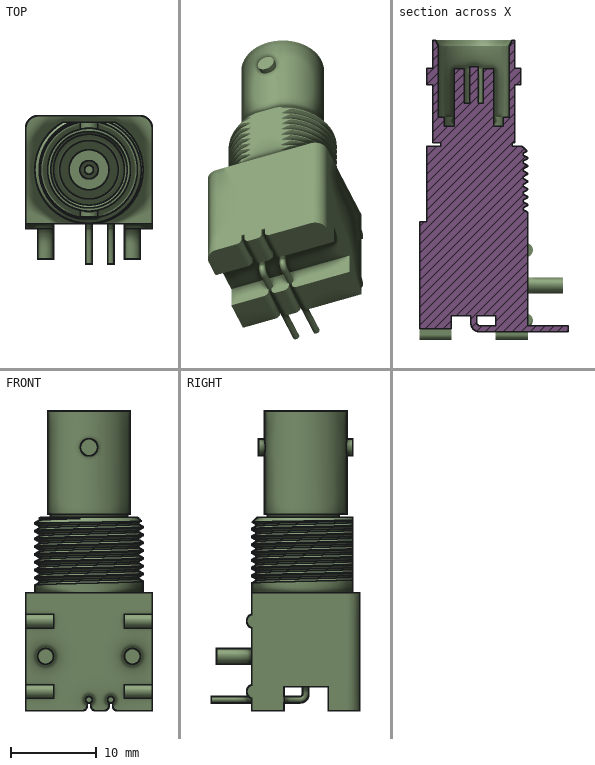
import cadquery as cq
import math


body_width = 14.76
body_depth = 12.6
body_height = 13.76
back_corner_radius = 1.5
front_y = -body_depth / 2

notch_front_y = -2.5
notch_back_y = 2.6
notch_height = 2.8

rib_length = 3.25
rib_height = 0.58
rib_half_chord = 0.8
rib_levels = (2.25, 10.45)

peg_radius = 0.92
peg_length = 4.1
peg_offset_x = 5.05
peg_level = 6.35

pin_radius = 0.38
pin_pitch = 2.54
pin_level = 1.3
pin_bend_radius = 0.68
pin_reach = 4.7
pin_positions = (0, pin_pitch)

slot_width = 0.4
slot_flare_radius = 0.6

thread_radius = 6.3
thread_pitch = 25.4 / 28
thread_top_z = 22.55
thread_start_z = 14.81
thread_depth = 0.54 * thread_pitch
groove_mouth = thread_pitch * 7 / 8
groove_root = thread_pitch / 4
groove_overrun = 0.04
groove_end_gap = 0.02
bushing_chamfer = 0.66
bushing_flat_y = 5.5

neck_radius = 4.5
neck_flat_y = 3.9

barrel_radius = 4.82
barrel_bottom_z = 22.9
barrel_top_z = 34.92
bore_radius = 4.12
bore_depth = 9.0
mouth_radius = 4.45
mouth_depth = 0.7

recess_radius = 3.4
recess_depth = 1.0
insulator_radius = 2.33
insulator_setback = 3.34
contact_hole_radius = 1.07
contact_hole_depth = 4.0
contact_radius = 0.52
contact_rise = 0.25

lug_radius = 1.0
lug_reach = 5.5
lug_level = 30.68


def cylinder(radius, bottom_z, top_z):
    """Upright cylinder on the barrel axis."""
    return cq.Workplane("XY").workplane(offset=bottom_z).circle(radius).extrude(top_z - bottom_z)


def cut_flat(solid, flat_y):
    """Remove everything behind the plane Y = flat_y."""
    size = 4 * barrel_top_z
    return solid.cut(cq.Workplane("XY").box(size, size, size).translate((0, flat_y + size / 2, 0)))


def make_body():
    body = cq.Workplane("XY").box(body_width, body_depth, body_height, centered=(True, True, False))
    body = body.edges("|Z and >Y").fillet(back_corner_radius)
    notch = (
        cq.Workplane("XY")
        .box(body_width, notch_back_y - notch_front_y, notch_height, centered=(True, False, False))
        .translate((0, notch_front_y, 0))
    )
    body = body.cut(notch)
    for x in pin_positions:
        body = body.cut(make_pin_slot(x))
    return body


def make_pin_slot(x):
    """Slot from the underside up to the pin, widening at its mouth with round corners."""
    half_width = slot_width / 2
    half_mouth = half_width + slot_flare_radius
    arc_shift = slot_flare_radius * (1 - math.sqrt(0.5))
    arc_mid_x = half_width + arc_shift
    arc_mid_z = arc_shift
    return (
        cq.Workplane("XZ", origin=(x, body_depth / 2, 0))
        .moveTo(-half_mouth, 0)
        .threePointArc((-arc_mid_x, arc_mid_z), (-half_width, slot_flare_radius))
        .lineTo(-half_width, pin_level)
        .lineTo(half_width, pin_level)
        .lineTo(half_width, slot_flare_radius)
        .threePointArc((arc_mid_x, arc_mid_z), (half_mouth, 0))
        .close()
        .extrude(body_depth)
    )


def make_rib(start_x, level):
    """Round-topped rib along X on the front face."""
    return (
        cq.Workplane("YZ", origin=(start_x, front_y, level))
        .moveTo(0, -rib_half_chord)
        .threePointArc((-rib_height, 0), (0, rib_half_chord))
        .close()
        .extrude(rib_length)
    )


def make_peg(x):
    return cq.Workplane("XZ", origin=(x, front_y, peg_level)).circle(peg_radius).extrude(peg_length)


def make_pin(x):
    """Pin that drops from the notch ceiling, bends and leaves through the front wall."""
    bend_mid = pin_bend_radius * (1 - math.sqrt(0.5))
    path = (
        cq.Workplane("YZ", origin=(x, 0, 0))
        .moveTo(0, notch_height + pin_radius)
        .lineTo(0, pin_level + pin_bend_radius)
        .threePointArc((-bend_mid, pin_level + bend_mid), (-pin_bend_radius, pin_level))
        .lineTo(front_y - pin_reach, pin_level)
    )
    start = cq.Workplane("XY", origin=(x, 0, notch_height + pin_radius))
    return start.circle(pin_radius).sweep(path)


def make_groove_turn():
    """One turn of the right-hand V groove; both ends lie clear of the flat at the back."""
    outer_radius = thread_radius + groove_overrun
    root_radius = thread_radius - thread_depth
    half_root = groove_root / 2
    flank_slope = (groove_mouth - groove_root) / 2 / thread_depth
    half_outer = half_root + flank_slope * (outer_radius - root_radius)
    height = thread_pitch * (1 - 2 * groove_end_gap)
    helix = cq.Workplane(cq.Wire.makeHelix(thread_pitch, height, thread_radius))
    groove = (
        cq.Workplane("XZ")
        .moveTo(root_radius, -half_root)
        .lineTo(outer_radius, -half_outer)
        .lineTo(outer_radius, half_outer)
        .lineTo(root_radius, half_root)
        .close()
        .sweep(helix, isFrenet=True)
    )
    start_angle = 90 + 360 * groove_end_gap
    start_z = thread_start_z + thread_pitch * groove_end_gap
    return groove.rotate((0, 0, 0), (0, 0, 1), start_angle).translate((0, 0, start_z)).val()


def make_bushing():
    """Threaded bushing with a flat at the back that interrupts every turn of the groove."""
    bushing = cylinder(thread_radius, body_height, thread_top_z)
    bushing = bushing.faces(">Z").chamfer(bushing_chamfer)
    bushing = cut_flat(bushing.rotate((0, 0, 0), (0, 0, 1), 90), bushing_flat_y)
    turn = make_groove_turn()
    turn_count = math.ceil((thread_top_z - thread_start_z) / thread_pitch)
    turns = [turn.translate(cq.Vector(0, 0, index * thread_pitch)) for index in range(turn_count)]
    return bushing.cut(cq.Workplane(cq.Compound.makeCompound(turns)))


def make_neck():
    return cut_flat(cylinder(neck_radius, body_height, barrel_bottom_z), neck_flat_y)


def make_lugs():
    lugs = cq.Workplane("XZ", origin=(0, lug_reach, lug_level)).circle(lug_radius).extrude(2 * lug_reach)
    return lugs.cut(cylinder(bore_radius, barrel_bottom_z, barrel_top_z))


def make_bore():
    """Stepped cavity with a conical mouth."""
    floor_z = barrel_top_z - bore_depth
    return (
        cq.Workplane("XZ")
        .moveTo(0, floor_z - recess_depth)
        .lineTo(recess_radius, floor_z - recess_depth)
        .lineTo(recess_radius, floor_z)
        .lineTo(bore_radius, floor_z)
        .lineTo(bore_radius, barrel_top_z - mouth_depth)
        .lineTo(mouth_radius, barrel_top_z)
        .lineTo(0, barrel_top_z)
        .close()
        .revolve(360, (0, 0, 0), (0, 1, 0))
    )


def make_insulator():
    """Central post with a hole around the slightly proud centre contact."""
    floor_z = barrel_top_z - bore_depth - recess_depth
    top_z = barrel_top_z - insulator_setback
    post = cylinder(insulator_radius, floor_z, top_z)
    post = post.cut(cylinder(contact_hole_radius, top_z - contact_hole_depth, top_z))
    return post.union(cylinder(contact_radius, floor_z, top_z + contact_rise))


result = make_body()
result = result.union(make_bushing()).union(make_neck())
result = result.union(cylinder(barrel_radius, barrel_bottom_z, barrel_top_z))
result = result.union(make_lugs()).cut(make_bore()).union(make_insulator())
for level in rib_levels:
    for start_x in (-body_width / 2, body_width / 2 - rib_length):
        result = result.union(make_rib(start_x, level))
for side in (-1, 1):
    result = result.union(make_peg(side * peg_offset_x))
for x in pin_positions:
    result = result.union(make_pin(x))